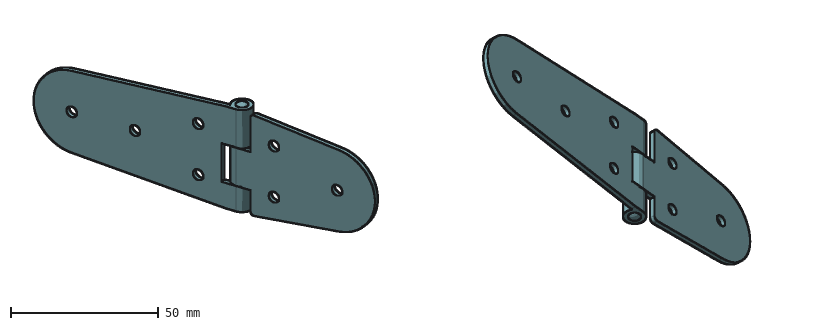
import cadquery as cq
import math


overall_length = 135.0
long_reach = 80.0
short_reach = overall_length - long_reach
tip_radius = 16.0
leaf_thickness = 2.0
long_root_height = 40.0
short_root_height = 39.7
corner_radius = 1.5

knuckle_diameter = 8.0
knuckle_radius = knuckle_diameter / 2
middle_knuckle_height = 15.0
upper_knuckle_height = 15.0
middle_knuckle_z = long_root_height / 2 - upper_knuckle_height - middle_knuckle_height / 2
knuckle_notch = 5.7
pin_diameter = 4.5
pin_length = 42.0
pin_radius = pin_diameter / 2
pin_head_height = (pin_length - long_root_height) / 2

screw_hole_diameter = 4.0
first_hole_row = 15.0
hole_pitch = 25.0
pair_offset = 10.0

front_face = -knuckle_radius


def leaf_plate(root_x, root_height, reach, side):
    """Tapered plate whose straight edges run tangentially into a round tip; side is -1 or +1."""
    half_height = root_height / 2
    tip_center = reach - tip_radius
    run = tip_center - root_x
    edge_angle = math.acos(tip_radius / math.hypot(run, half_height)) - math.atan2(run, half_height)
    tangent_x = tip_center + tip_radius * math.sin(edge_angle)
    tangent_z = tip_radius * math.cos(edge_angle)
    return (
        cq.Workplane("XZ", origin=(0, front_face, 0))
        .moveTo(side * root_x, -half_height)
        .lineTo(side * tangent_x, -tangent_z)
        .threePointArc((side * reach, 0), (side * tangent_x, tangent_z))
        .lineTo(side * root_x, half_height)
        .close()
        .extrude(-leaf_thickness)
    )


def plate_block(x_start, x_end, height):
    """Rectangular piece of leaf plate between two X positions, centered in Z."""
    return cq.Workplane("XY").box(
        x_end - x_start, leaf_thickness, height, centered=(False, False, True)
    ).translate((x_start, front_face, 0))


def cylinder(diameter, length):
    """Cylinder on the hinge axis, centered in Z."""
    return cq.Workplane("XY").circle(diameter / 2).extrude(length / 2, both=True)


def screw_holes(side, single_hole_count):
    """Cutters for a pair of holes near the hinge and a row of single holes towards the tip."""
    points = [(side * first_hole_row, pair_offset), (side * first_hole_row, -pair_offset)]
    for index in range(1, single_hole_count + 1):
        points.append((side * (first_hole_row + index * hole_pitch), 0))
    return (
        cq.Workplane("XZ", origin=(0, front_face, 0))
        .pushPoints(points)
        .circle(screw_hole_diameter / 2)
        .extrude(-leaf_thickness)
    )


def make_long_leaf():
    """Long leaf with the two outer knuckles and a notch for the middle knuckle."""
    leaf = leaf_plate(knuckle_radius, long_root_height, long_reach, -1)
    leaf = leaf.union(plate_block(-knuckle_radius, 0, long_root_height))
    leaf = leaf.union(cylinder(knuckle_diameter, long_root_height))
    notch = cq.Workplane("XY").box(2 * knuckle_notch, 2 * knuckle_diameter, middle_knuckle_height)
    leaf = leaf.cut(notch.translate((0, 0, middle_knuckle_z)))
    leaf = leaf.cut(cylinder(pin_diameter, long_root_height))
    return leaf.cut(screw_holes(-1, 2))


def make_short_leaf():
    """Short leaf with the middle knuckle."""
    leaf = leaf_plate(knuckle_notch, short_root_height, short_reach, 1)
    leaf = leaf.edges("|Y and <X").fillet(corner_radius)
    knuckle = plate_block(0, knuckle_notch, middle_knuckle_height)
    knuckle = knuckle.union(cylinder(knuckle_diameter, middle_knuckle_height))
    knuckle = knuckle.cut(cylinder(pin_diameter, middle_knuckle_height))
    leaf = leaf.union(knuckle.translate((0, 0, middle_knuckle_z)))
    return leaf.cut(screw_holes(1, 1))


def make_pin():
    """Hinge pin with a shallow domed head standing out at each end."""
    half_shank = long_root_height / 2
    half_length = pin_length / 2
    dome_radius = (pin_radius**2 + pin_head_height**2) / (2 * pin_head_height)
    dome_center = half_length - dome_radius
    half_angle = math.asin(pin_radius / dome_radius) / 2
    mid_x = dome_radius * math.sin(half_angle)
    mid_z = dome_center + dome_radius * math.cos(half_angle)
    return (
        cq.Workplane("XZ")
        .moveTo(0, -half_length)
        .threePointArc((mid_x, -mid_z), (pin_radius, -half_shank))
        .lineTo(pin_radius, half_shank)
        .threePointArc((mid_x, mid_z), (0, half_length))
        .close()
        .revolve(360, (0, 0, 0), (0, 1, 0))
    )


long_leaf = make_long_leaf()
short_leaf = make_short_leaf()
pin = make_pin()

result = cq.Compound.makeCompound([long_leaf.val(), short_leaf.val(), pin.val()])